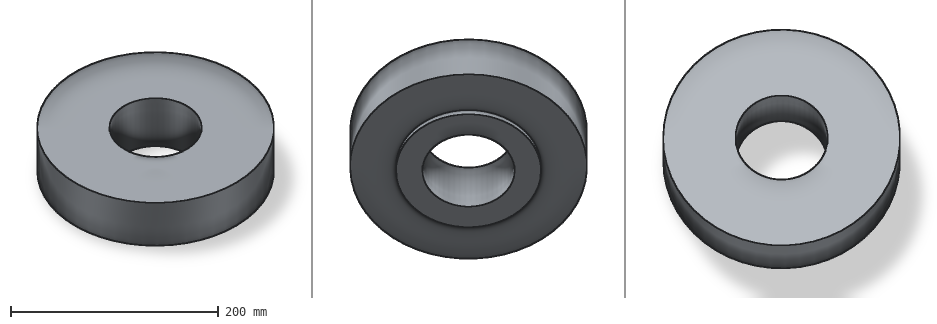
import cadquery as cq

outer_diameter = 228.5
bore_diameter = 89.0
raised_face_diameter = 139.9
overall_height = 60.0
raised_face_height = 6.5

ring_thickness = overall_height - raised_face_height

ring = cq.Workplane("XY").circle(outer_diameter / 2).extrude(ring_thickness)

raised_face = cq.Workplane("XY").circle(raised_face_diameter / 2).extrude(-raised_face_height)

bore = (
    cq.Workplane("XY")
    .workplane(offset=-raised_face_height)
    .circle(bore_diameter / 2)
    .extrude(overall_height)
)

result = ring.union(raised_face).cut(bore)